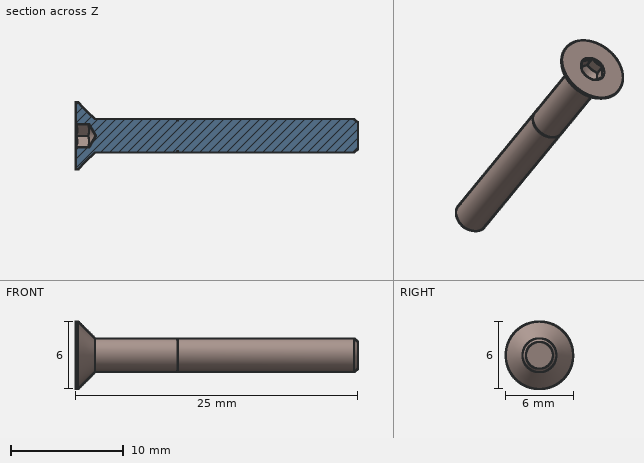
import cadquery as cq
import math

overall_length = 25.0
head_radius = 3.0
head_rim_thickness = 0.2
shank_radius = 1.5
head_height = head_rim_thickness + (head_radius - shank_radius)

groove_start = 8.99
groove_width = 0.07
groove_depth = 0.15

tip_radius = 1.19
tip_chamfer_length = 0.37

hexagon_sides = 6
socket_across_flats = 2.0
socket_corner_radius = socket_across_flats / (2 * math.cos(math.pi / hexagon_sides))
socket_depth = 1.1
socket_floor_half_angle = math.radians(60)
socket_floor_depth = socket_corner_radius / math.tan(socket_floor_half_angle)
socket_mouth_half_angle = math.radians(45)
socket_mouth_depth = socket_corner_radius / math.tan(socket_mouth_half_angle)


def turned(points):
    """Solid turned about the X axis from a closed outline of (x, radius) points."""
    return cq.Workplane("XZ").polyline(points).close().revolve(360, (0, 0, 0), (1, 0, 0))


def screw_body():
    """Head, shank and chamfered tip."""
    return turned([
        (0, 0),
        (0, head_radius),
        (head_rim_thickness, head_radius),
        (head_height, shank_radius),
        (overall_length - tip_chamfer_length, shank_radius),
        (overall_length, tip_radius),
        (overall_length, 0),
    ])


def thread_groove():
    """Ring with a square near wall and a sloping far wall."""
    return turned([
        (groove_start, shank_radius),
        (groove_start, shank_radius - groove_depth),
        (groove_start + groove_width, shank_radius),
    ])


def socket_hexagon():
    """Hexagonal prism with two corners on the Z axis, ending in a cone."""
    hexagon = (
        cq.Workplane("YZ")
        .transformed(rotate=(0, 0, 90))
        .polygon(hexagon_sides, 2 * socket_corner_radius)
        .extrude(socket_depth + socket_floor_depth)
    )
    pointed_envelope = turned([
        (0, 0),
        (0, socket_corner_radius),
        (socket_depth, socket_corner_radius),
        (socket_depth + socket_floor_depth, 0),
    ])
    return hexagon.intersect(pointed_envelope)


def socket_mouth():
    """Cone as wide as the hexagon's corners, which trims its flats at the head face."""
    return turned([
        (0, 0),
        (0, socket_corner_radius),
        (socket_mouth_depth, 0),
    ])


result = (
    screw_body()
    .cut(thread_groove())
    .cut(socket_hexagon())
    .cut(socket_mouth())
)